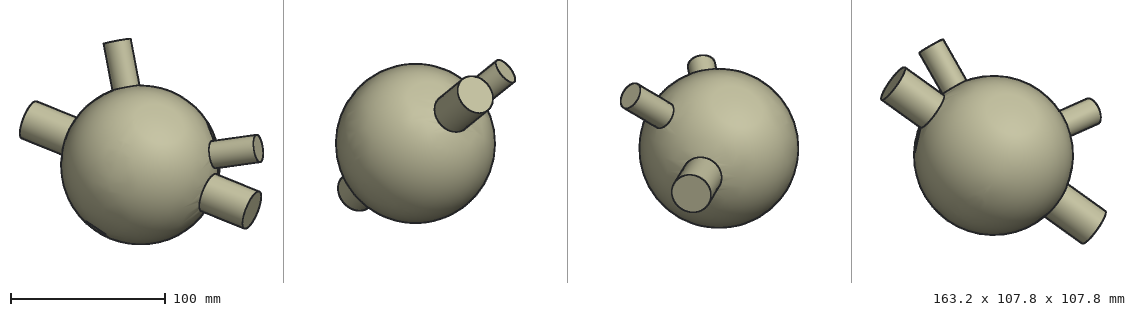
import cadquery as cq
import math

ball_radius = 51.615
rod_projection = 30.0
rod_reach = ball_radius + rod_projection
bar_diameter = 26.0
rod_diameter = 18.0

rod_plane_tilt = math.radians(45.0)
rod_angles = [math.radians(28.5), math.radians(121.9)]


def radial_rod(direction, diameter):
    """Cylinder from the ball centre out to the common reach."""
    base = cq.Plane(origin=(0, 0, 0), normal=direction)
    return cq.Workplane(base).circle(diameter / 2).extrude(rod_reach)


def rod_direction(angle):
    """Unit vector in the tilted plane at the given angle from +X."""
    return (
        math.cos(angle),
        math.sin(angle) * math.cos(rod_plane_tilt),
        math.sin(angle) * math.sin(rod_plane_tilt),
    )


ball = cq.Workplane("XY").sphere(ball_radius)
bar = cq.Workplane("YZ").circle(bar_diameter / 2).extrude(rod_reach, both=True)

result = ball.union(bar)
for rod_angle in rod_angles:
    result = result.union(radial_rod(rod_direction(rod_angle), rod_diameter))